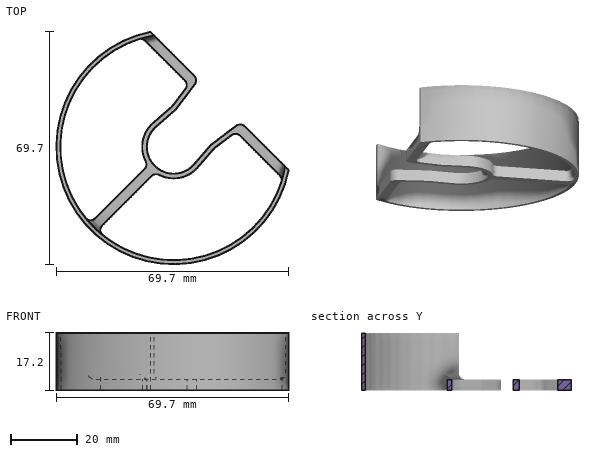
import cadquery as cq
import math

OPENING_ANGLE = 45.0

RING_RADIUS = 35.2
RING_WALL = 1.25
RING_HEIGHT = 17.2
OPENING_X = 19.4

WEB_HEIGHT = 3.3
WEB_WIDTH = 3.0
FILLET = 2.0

SEAT_RADIUS = 8.0
CLIP_WALL = 1.45
NECK_X = 8.35
NECK_HALF_WIDTH = 7.45
MOUTH_HALF_WIDTH = 9.0

bore_radius = RING_RADIUS - RING_WALL
mid_wall_radius = RING_RADIUS - RING_WALL / 2
arm_inner_x = OPENING_X - WEB_WIDTH
seat_outer_radius = SEAT_RADIUS + CLIP_WALL
flare_slope = (MOUTH_HALF_WIDTH - NECK_HALF_WIDTH) / (OPENING_X - NECK_X)


def make_ring():
    """Tall thin ring, cut off flat at the opening plane."""
    ring = cq.Workplane("XY").circle(RING_RADIUS).circle(bore_radius).extrude(RING_HEIGHT)
    size = 2 * RING_RADIUS
    cutter = cq.Workplane("XY").box(size, size, RING_HEIGHT, centered=(False, True, False))
    return ring.cut(cutter.translate((OPENING_X, 0, 0)))


def clip_area(radius, neck_half_width, mouth_half_width):
    """Solid bounded by a round end, sides tangent to it, a neck and a flared mouth."""
    neck_angle = math.atan2(neck_half_width, NECK_X)
    tangent_angle = neck_angle + math.acos(radius / math.hypot(NECK_X, neck_half_width))
    tangent_x = radius * math.cos(tangent_angle)
    tangent_y = radius * math.sin(tangent_angle)
    return (
        cq.Workplane("XY")
        .moveTo(OPENING_X, mouth_half_width)
        .lineTo(NECK_X, neck_half_width)
        .lineTo(tangent_x, tangent_y)
        .threePointArc((-radius, 0), (tangent_x, -tangent_y))
        .lineTo(NECK_X, -neck_half_width)
        .lineTo(OPENING_X, -mouth_half_width)
        .close()
        .extrude(RING_HEIGHT)
    )


def make_web():
    """Full-height arms along the opening, the clip between them and the spoke behind it."""
    arms = (
        cq.Workplane("XY")
        .box(WEB_WIDTH, 2 * mid_wall_radius, RING_HEIGHT, centered=(False, True, False))
        .translate((arm_inner_x, 0, 0))
    )
    spoke = (
        cq.Workplane("XY")
        .box(mid_wall_radius, WEB_WIDTH, RING_HEIGHT, centered=(False, True, False))
        .translate((-mid_wall_radius, 0, 0))
    )
    disc = cq.Workplane("XY").circle(mid_wall_radius).extrude(RING_HEIGHT)
    outer = clip_area(
        seat_outer_radius, NECK_HALF_WIDTH + CLIP_WALL, MOUTH_HALF_WIDTH + CLIP_WALL
    )
    inner = clip_area(SEAT_RADIUS, NECK_HALF_WIDTH, MOUTH_HALF_WIDTH)
    return arms.intersect(disc).union(spoke).union(outer).cut(inner)


def make_space_above_web():
    """Round space over the web, with a cove where the web's top meets the bore."""
    cove_x = bore_radius - FILLET
    cove_z = WEB_HEIGHT + FILLET
    cove_reach = FILLET * math.sqrt(0.5)
    return (
        cq.Workplane("XZ")
        .moveTo(0, WEB_HEIGHT)
        .lineTo(cove_x, WEB_HEIGHT)
        .threePointArc((cove_x + cove_reach, cove_z - cove_reach), (bore_radius, cove_z))
        .lineTo(bore_radius, RING_HEIGHT)
        .lineTo(0, RING_HEIGHT)
        .close()
        .revolve(360, (0, 0, 0), (0, 1, 0))
    )


def near_corner(x, y):
    """Selector box around the upright web edges at (x, y) and (x, -y)."""
    reach = 0.1
    boxes = [
        cq.selectors.BoxSelector(
            (x - reach, side * y - reach, 0),
            (x + reach, side * y + reach, RING_HEIGHT),
        )
        for side in (1, -1)
    ]
    return boxes[0] + boxes[1]


def circle_x(radius, y):
    return math.sqrt(radius**2 - y**2)


body = make_ring().union(make_web())

clip_to_arm_y = NECK_HALF_WIDTH + CLIP_WALL + flare_slope * (arm_inner_x - NECK_X)
corners = [
    (OPENING_X, MOUTH_HALF_WIDTH),
    (arm_inner_x, clip_to_arm_y),
    (arm_inner_x, circle_x(bore_radius, arm_inner_x)),
    (-circle_x(seat_outer_radius, WEB_WIDTH / 2), WEB_WIDTH / 2),
    (-circle_x(bore_radius, WEB_WIDTH / 2), WEB_WIDTH / 2),
]
for corner_x, corner_y in corners:
    body = body.edges("|Z").edges(near_corner(corner_x, corner_y)).fillet(FILLET)

body = body.cut(make_space_above_web())

result = body.rotate((0, 0, 0), (0, 0, 1), OPENING_ANGLE)